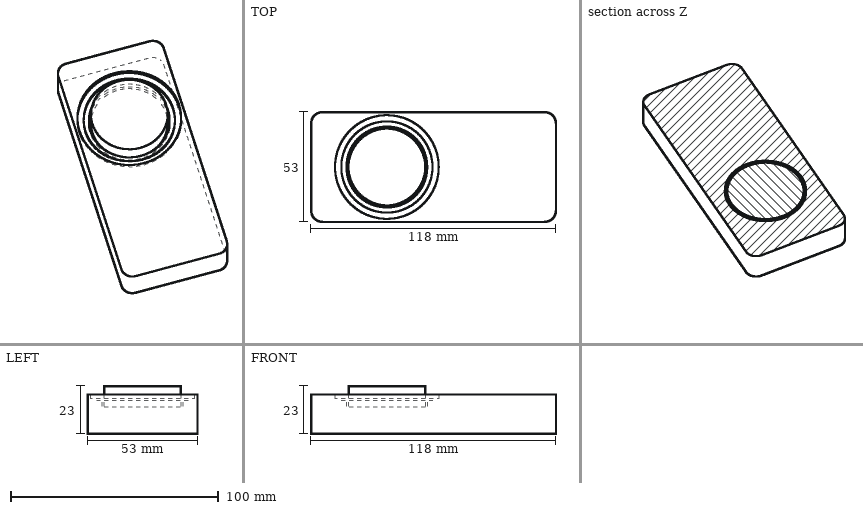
import cadquery as cq

housing_length = 118.0
housing_width = 53.0
housing_height = 19.0
corner_radius = 5.5

button_diameter = 37.0
button_rise = 4.0
edge_margin = 11.5
rim_diameter = 50.0
rim_depth = 2.0
ledge_diameter = 44.0
ledge_depth = 3.0
well_diameter = 39.0
well_depth = 6.0

button_x = -housing_length / 2 + edge_margin + rim_diameter / 2
button_height = well_depth + button_rise


def disc(diameter, bottom_z, height):
    """Upright cylinder on the button axis."""
    return (
        cq.Workplane("XY", origin=(button_x, 0, bottom_z))
        .circle(diameter / 2)
        .extrude(height)
    )


def make_housing():
    """Rounded block with a recess that narrows in steps towards its floor."""
    block = (
        cq.Workplane("XY")
        .rect(housing_length, housing_width)
        .extrude(housing_height)
        .edges("|Z")
        .fillet(corner_radius)
    )
    steps = [
        (rim_diameter, rim_depth),
        (ledge_diameter, ledge_depth),
        (well_diameter, well_depth),
    ]
    for diameter, depth in steps:
        block = block.cut(disc(diameter, housing_height - depth, depth))
    return block


def make_button():
    """Plain cylinder standing on the floor of the well."""
    return disc(button_diameter, housing_height - well_depth, button_height)


housing = make_housing()
button = make_button()

result = cq.Compound.makeCompound([housing.val(), button.val()])